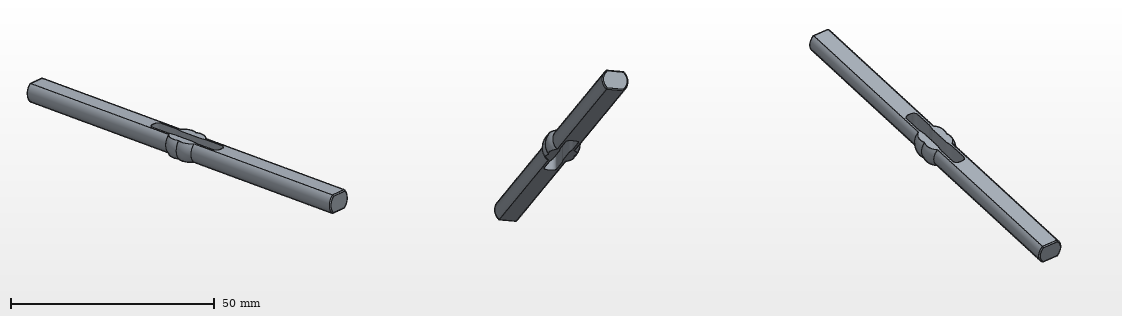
import cadquery as cq

length = 100.0
bar_diameter = 6.6
thickness = 5.0
tip_chamfer = 0.3

ball_radius = 4.3
ball_offset = 1.4

eye_length = 22.2
eye_width = 3.2
eye_corner_radius = 1.2
waist_width = 2.6
waist_length = 6.0
waist_end_length = 9.8


def make_slab():
    """Layer between the two flats, large enough to hold the whole part."""
    return cq.Workplane("XY").box(length, 2 * ball_radius, thickness)


def make_bar():
    """Round bar along X with two flats, bevelled all round at both ends."""
    bar = cq.Workplane("YZ").circle(bar_diameter / 2).extrude(length / 2, both=True)
    return bar.intersect(make_slab()).faces("<X or >X").chamfer(tip_chamfer)


def make_ball(x):
    """Ball centred on the bar axis, trimmed flush with the flats."""
    ball = cq.Workplane("XY").sphere(ball_radius).translate((x, 0, 0))
    return ball.intersect(make_slab())


def make_eye():
    """Rounded slot whose side walls step in along short ramps at the waist."""
    slot = (
        cq.Workplane("XY")
        .rect(eye_length, eye_width)
        .extrude(thickness, both=True)
        .edges("|Z")
        .fillet(eye_corner_radius)
    )
    for side in (1, -1):
        wall = (
            cq.Workplane("XY")
            .moveTo(-waist_end_length / 2, side * eye_width / 2)
            .lineTo(-waist_length / 2, side * waist_width / 2)
            .lineTo(waist_length / 2, side * waist_width / 2)
            .lineTo(waist_end_length / 2, side * eye_width / 2)
            .close()
            .extrude(thickness, both=True)
        )
        slot = slot.cut(wall)
    return slot


result = make_bar()
for x in (-ball_offset, ball_offset):
    result = result.union(make_ball(x))
result = result.cut(make_eye())